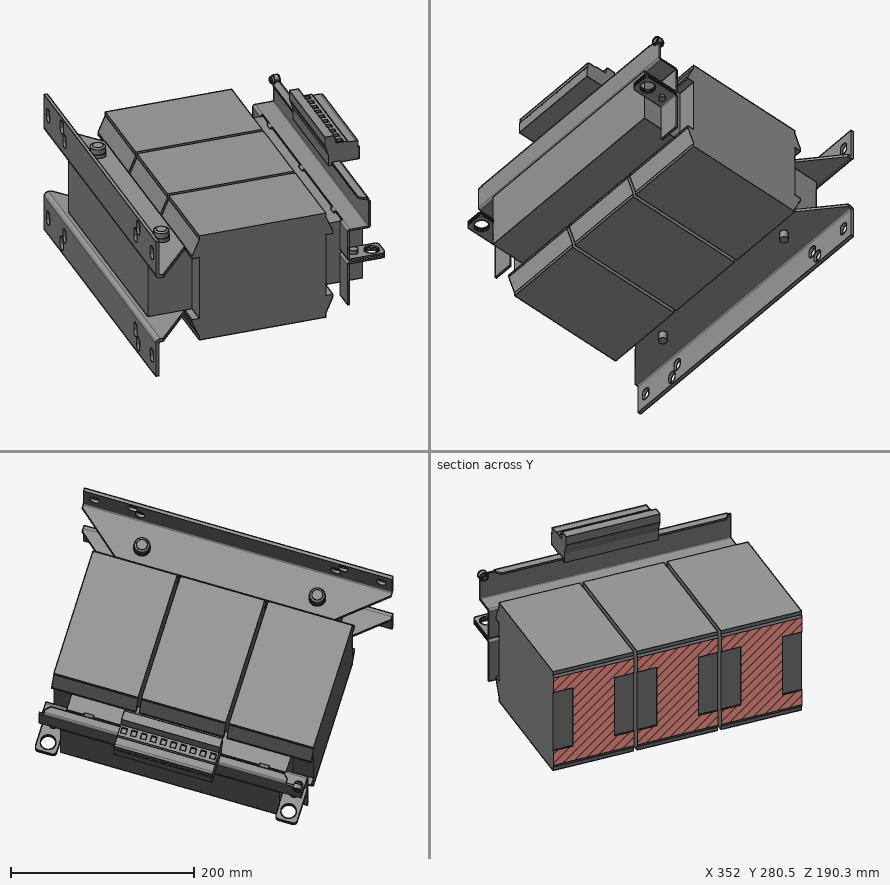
import cadquery as cq


LEG_PITCH = 100.0
LEG_WIDTH = LEG_PITCH / 2
CORE_HALF = LEG_PITCH + LEG_WIDTH / 2
YOKE_INNER = CORE_HALF - LEG_WIDTH
CORE_HALF_Z = 38.0
LEG_XS = (-LEG_PITCH, 0, LEG_PITCH)

COIL_WIDTH = 96.0
COIL_HALF_Y = 73.5
COIL_HALF_Z = 65.0
FLAP_REACH = 8.5
FLAP_BEND_Z = 60.5
FLAP_TIP_Z = 41.2

ANGLE_LENGTH = 352.0
ANGLE_THICKNESS = 4.0
ANGLE_BEND = 5.3
ANGLE_FRONT = -134.5
ANGLE_EDGE_Z = 84.0
ANGLE_SHOULDER_Y = -126.0
SHELF_TOP = CORE_HALF_Z + ANGLE_THICKNESS
SHELF_REAR = -COIL_HALF_Y - FLAP_REACH
SLOT_WIDTH = 10.2
SLOT_LENGTH = 16.5
SLOT_CENTRES = ((163.5, 64.0), (120.0, 72.5), (111.5, 59.0))

BOLT_Y = -(CORE_HALF + YOKE_INNER) / 2
BOLT_DIAMETER = 9.5
BOLT_BOTTOM = -52.5
WASHER_DIAMETER = 18.3
WASHER_HEIGHT = 4.2
HEAD_DIAMETER = 17.0
HEAD_TOP = 54.0
HEAD_CHAMFER_HEIGHT = 1.5
HEAD_CHAMFER_WIDTH = 2.5

SHEET = 2.0
SHEET_BEND = 2.8
SHEET_INNER_BEND = SHEET_BEND - SHEET
SHELF_SHEET_TOP = CORE_HALF_Z + SHEET
BRACKET_HALF_X = 149.2
BRACKET_FRONT = 98.5
BRACKET_REAR = CORE_HALF
BRACKET_TOP = 73.5
LIP_FRONT = 114.0
LIP_ROOT_Z = BRACKET_TOP - 2 * SHEET_BEND
LIP_LEFT = -132.0
LIP_RIGHT = 144.3
LIP_CHAMFER = 5.0
TAB_WIDTH = 10.5
LUG_REAR = 143.0
LUG_GAP = 1.8
LUG_CORNER = 4.5
LUG_HOLE = 17.0
LUG_HOLE_Y = 131.0
LUG_X = (CORE_HALF + BRACKET_HALF_X) / 2
LOWER_SHEET_BOTTOM = -54.0

LUG_SCREW_Y = 110.0
LUG_SCREW_SHANK = 5.5
LUG_SCREW_HEAD = 9.5
LUG_SCREW_TOP = 7.7
LUG_SCREW_NUT = 7.0
LUG_SCREW_BOTTOM = -6.5
EARTH_X = -145.5
EARTH_Z = 69.0
EARTH_SHANK = 5.5
EARTH_NUT = 8.5
EARTH_WASHER = 10.5
EARTH_WASHER_HEIGHT = 1.8
EARTH_FRONT = 117.2
EARTH_NUT_FRONT = 118.5
EARTH_REAR = 127.8

STRIP_LEFT = -54.2
STRIP_RIGHT = 57.7
STRIP_REAR = 146.0
STRIP_TOP = 106.3
STRIP_BOTTOM = 71.8
REAR_STEP_Y = 144.5
REAR_STEP_Z = 87.0
LEDGE_REAR = 142.0
LEDGE_Z = 95.0
LEDGE_DROP = 0.7
DECK_REAR = 132.0
DECK_RAMP = 1.5
DECK_FRONT = 119.5
DECK_Z = 96.5
CREST_REAR = 116.5
CREST_FRONT = 106.0
CREST_FOOT_Z = 95.5
BEVEL_Y = 107.0
BEVEL_TOP_Z = 92.5
UNDERCUT_Y = 109.0
UNDERCUT_Z = 86.2
FOOT_FRONT = 110.0
FOOT_TOP = 82.5
FOOT_BOTTOM = 69.7
OPENING_COUNT = 10
OPENING_PITCH = 11.3
OPENING_WIDTH = 6.0
OPENING_LENGTH = 6.7
OPENING_DEPTH = 3.5
OPENING_Y = 125.0


def x_prism(points, x_start, x_end):
    """Extrude a (Y, Z) outline from x_start to x_end."""
    profile = cq.Workplane("YZ", origin=(x_start, 0, 0)).polyline(points).close()
    return profile.extrude(x_end - x_start)


def box(x_range, y_range, z_range):
    """Box between the given limits."""
    size = [high - low for low, high in (x_range, y_range, z_range)]
    corner = (x_range[0], y_range[0], z_range[0])
    return cq.Workplane("XY").box(*size, centered=False).translate(corner)


def z_cylinder(x, y, diameter, bottom, top):
    return cq.Workplane("XY", origin=(x, y, bottom)).circle(diameter / 2).extrude(top - bottom)


def y_cylinder(x, z, diameter, front, rear):
    plane = cq.Workplane("XZ", origin=(x, front, z))
    return plane.circle(diameter / 2).extrude(front - rear)


def round_bend(sheet, x, y, z, radius):
    """Round the edge along X that passes closest to the given point."""
    edge = sheet.edges("|X").edges(cq.NearestToPointSelector((x, y, z)))
    return edge.fillet(radius)


def make_core():
    span_x = (-CORE_HALF, CORE_HALF)
    span_z = (-CORE_HALF_Z, CORE_HALF_Z)
    core = box(span_x, (-CORE_HALF, CORE_HALF), span_z)
    for x in (-LEG_PITCH / 2, LEG_PITCH / 2):
        half_window = (LEG_PITCH - LEG_WIDTH) / 2
        window = box((x - half_window, x + half_window), (-YOKE_INNER, YOKE_INNER), span_z)
        core = core.cut(window)
    return core


def make_coil(x):
    """Coil around one leg, with flaps leaning out above and below the yokes."""
    flap_y = COIL_HALF_Y + FLAP_REACH
    quarter = [
        (COIL_HALF_Y, CORE_HALF_Z),
        (flap_y, CORE_HALF_Z),
        (flap_y, FLAP_TIP_Z),
        (COIL_HALF_Y, FLAP_BEND_Z),
        (COIL_HALF_Y, COIL_HALF_Z),
    ]
    upper = quarter + [(-y, z) for y, z in reversed(quarter)]
    lower = [(-y, -z) for y, z in upper]
    return x_prism(upper + lower, x - COIL_WIDTH / 2, x + COIL_WIDTH / 2)


def make_upper_angle():
    """Bent angle with a tapered shelf on the front yoke and a slotted upright wall."""
    half = ANGLE_LENGTH / 2
    wall_rear = ANGLE_FRONT + ANGLE_THICKNESS
    profile = [
        (ANGLE_FRONT, CORE_HALF_Z),
        (SHELF_REAR, CORE_HALF_Z),
        (SHELF_REAR, SHELF_TOP),
        (wall_rear, SHELF_TOP),
        (wall_rear, ANGLE_EDGE_Z),
        (ANGLE_FRONT, ANGLE_EDGE_Z),
    ]
    angle = x_prism(profile, -half, half)
    angle = round_bend(angle, 0, ANGLE_FRONT, CORE_HALF_Z, ANGLE_BEND)
    angle = round_bend(angle, 0, wall_rear, SHELF_TOP, ANGLE_BEND - ANGLE_THICKNESS)

    for side in (-1, 1):
        corner = [
            (side * half, ANGLE_SHOULDER_Y),
            (side * half, SHELF_REAR),
            (side * CORE_HALF, SHELF_REAR),
        ]
        cutter = cq.Workplane("XY").polyline(corner).close().extrude(ANGLE_EDGE_Z)
        angle = angle.cut(cutter)

    slot_centres = [(side * x, z) for side in (-1, 1) for x, z in SLOT_CENTRES]
    slots = (
        cq.Workplane("XZ", origin=(0, wall_rear, 0))
        .pushPoints(slot_centres)
        .slot2D(SLOT_LENGTH, SLOT_WIDTH, 90)
        .extrude(ANGLE_THICKNESS)
    )
    return angle.cut(slots)


def make_clamp_bolt(x):
    washer_top = SHELF_TOP + WASHER_HEIGHT
    shank = z_cylinder(x, BOLT_Y, BOLT_DIAMETER, BOLT_BOTTOM, washer_top)
    washer = z_cylinder(x, BOLT_Y, WASHER_DIAMETER, SHELF_TOP, washer_top)
    head = z_cylinder(x, BOLT_Y, HEAD_DIAMETER, washer_top, HEAD_TOP)
    head = head.faces(">Z").chamfer(HEAD_CHAMFER_HEIGHT, HEAD_CHAMFER_WIDTH)
    return shank.union(washer).union(head)


def make_lug(profile, x, bends):
    """Bent strip beside the core that ends in a lifting lug with rounded corners and an eye.

    The bends are (Y, Z, radius) of the edges to round.
    """
    half = (BRACKET_HALF_X - CORE_HALF) / 2
    lug = x_prism(profile, x - half, x + half)
    for y, z, radius in bends:
        lug = round_bend(lug, x, y, z, radius)
    lug = lug.edges("|Z and >Y").fillet(LUG_CORNER)
    eye = z_cylinder(x, LUG_HOLE_Y, LUG_HOLE, -LUG_GAP / 2 - SHEET, LUG_GAP / 2 + SHEET)
    return lug.cut(eye)


def make_bracket_side(x):
    """Upper and lower lug beside the core and the screw between them."""
    wall_rear = BRACKET_FRONT + SHEET
    shelf_front = BRACKET_FRONT + 2 * SHEET_BEND
    upper_bottom = LUG_GAP / 2
    upper_top = upper_bottom + SHEET
    upper_profile = [
        (BRACKET_FRONT, upper_bottom),
        (LUG_REAR, upper_bottom),
        (LUG_REAR, upper_top),
        (wall_rear, upper_top),
        (wall_rear, CORE_HALF_Z),
        (shelf_front, CORE_HALF_Z),
        (shelf_front, SHELF_SHEET_TOP),
        (BRACKET_FRONT, SHELF_SHEET_TOP),
    ]
    upper_bends = (
        (BRACKET_FRONT, upper_bottom, SHEET_BEND),
        (wall_rear, upper_top, SHEET_INNER_BEND),
        (BRACKET_FRONT, SHELF_SHEET_TOP, SHEET_BEND),
    )
    upper = make_lug(upper_profile, x, upper_bends)

    lower_top = -upper_bottom
    lower_bottom = -upper_top
    lower_profile = [
        (BRACKET_FRONT, lower_top),
        (LUG_REAR, lower_top),
        (LUG_REAR, lower_bottom),
        (wall_rear, lower_bottom),
        (wall_rear, LOWER_SHEET_BOTTOM),
        (BRACKET_FRONT, LOWER_SHEET_BOTTOM),
    ]
    lower_bends = (
        (BRACKET_FRONT, lower_top, SHEET_BEND),
        (wall_rear, lower_bottom, SHEET_INNER_BEND),
    )
    lower = make_lug(lower_profile, x, lower_bends)

    screw = z_cylinder(x, LUG_SCREW_Y, LUG_SCREW_SHANK, LUG_SCREW_BOTTOM, LUG_SCREW_TOP)
    head = z_cylinder(x, LUG_SCREW_Y, LUG_SCREW_HEAD, upper_top, LUG_SCREW_TOP)
    nut = z_cylinder(x, LUG_SCREW_Y, LUG_SCREW_NUT, LUG_SCREW_BOTTOM, lower_bottom)
    return upper.union(lower).union(screw).union(head).union(nut)


def make_lip():
    """Lip bent forward from the top of the wall, with cut corners at its front."""
    lip_bottom = BRACKET_TOP - SHEET
    profile = [
        (BRACKET_REAR, LIP_ROOT_Z),
        (BRACKET_REAR, BRACKET_TOP),
        (LIP_FRONT, BRACKET_TOP),
        (LIP_FRONT, lip_bottom),
        (BRACKET_REAR - SHEET, lip_bottom),
        (BRACKET_REAR - SHEET, LIP_ROOT_Z),
    ]
    lip = x_prism(profile, LIP_LEFT, LIP_RIGHT)
    lip = lip.edges("|Z and <Y").chamfer(LIP_CHAMFER)
    lip = round_bend(lip, 0, BRACKET_REAR, BRACKET_TOP, SHEET_BEND)
    return round_bend(lip, 0, BRACKET_REAR - SHEET, lip_bottom, SHEET_INNER_BEND)


def make_bracket_rail():
    """Shelf on the core, upright wall and the lip under the terminal strip."""
    wall_front = BRACKET_REAR - SHEET
    shelf_front = BRACKET_FRONT + SHEET_BEND
    profile = [
        (shelf_front, CORE_HALF_Z),
        (BRACKET_REAR, CORE_HALF_Z),
        (BRACKET_REAR, LIP_ROOT_Z),
        (wall_front, LIP_ROOT_Z),
        (wall_front, SHELF_SHEET_TOP),
        (shelf_front, SHELF_SHEET_TOP),
    ]
    rail = x_prism(profile, -BRACKET_HALF_X, BRACKET_HALF_X)
    rail = round_bend(rail, 0, BRACKET_REAR, CORE_HALF_Z, SHEET_BEND)
    rail = round_bend(rail, 0, wall_front, SHELF_SHEET_TOP, SHEET_INNER_BEND)

    end_z = (LIP_ROOT_Z, BRACKET_TOP - SHEET_BEND)
    rail = rail.union(make_lip())
    for span_x in ((-BRACKET_HALF_X, LIP_LEFT), (LIP_RIGHT, BRACKET_HALF_X)):
        rail = rail.union(box(span_x, (wall_front, BRACKET_REAR), end_z))

    for x in LEG_XS:
        tab = box(
            (x - TAB_WIDTH / 2, x + TAB_WIDTH / 2),
            (BRACKET_FRONT, shelf_front + SHEET),
            (CORE_HALF_Z - SHEET, SHELF_SHEET_TOP),
        )
        rail = rail.union(round_bend(tab, x, BRACKET_FRONT, SHELF_SHEET_TOP, SHEET_BEND))
    return rail


def make_earth_screw():
    """Screw through the left end of the bracket wall, with a washer on either side."""
    washer_front = BRACKET_REAR - SHEET - EARTH_WASHER_HEIGHT
    washer_rear = BRACKET_REAR + EARTH_WASHER_HEIGHT
    shank = y_cylinder(EARTH_X, EARTH_Z, EARTH_SHANK, EARTH_FRONT, EARTH_REAR)
    nut = y_cylinder(EARTH_X, EARTH_Z, EARTH_NUT, EARTH_NUT_FRONT, EARTH_REAR)
    washers = y_cylinder(EARTH_X, EARTH_Z, EARTH_WASHER, washer_front, washer_rear)
    return shank.union(nut).union(washers)


def make_terminal_strip():
    """Terminal strip seated on the lip, with a row of openings in its deck."""
    profile = [
        (STRIP_REAR, STRIP_BOTTOM),
        (STRIP_REAR, REAR_STEP_Z),
        (REAR_STEP_Y, REAR_STEP_Z),
        (REAR_STEP_Y, LEDGE_Z - LEDGE_DROP),
        (LEDGE_REAR, LEDGE_Z),
        (DECK_REAR + DECK_RAMP, LEDGE_Z),
        (DECK_REAR, DECK_Z),
        (DECK_FRONT, DECK_Z),
        (CREST_REAR, STRIP_TOP),
        (CREST_FRONT, STRIP_TOP),
        (CREST_FRONT, CREST_FOOT_Z),
        (BEVEL_Y, BEVEL_TOP_Z),
        (UNDERCUT_Y, UNDERCUT_Z),
        (FOOT_FRONT, FOOT_TOP),
        (FOOT_FRONT, FOOT_BOTTOM),
        (LIP_FRONT, FOOT_BOTTOM),
        (LIP_FRONT, STRIP_BOTTOM),
    ]
    strip = x_prism(profile, STRIP_LEFT, STRIP_RIGHT)
    middle = (STRIP_LEFT + STRIP_RIGHT) / 2
    openings = (
        cq.Workplane("XY", origin=(middle, OPENING_Y, DECK_Z - OPENING_DEPTH))
        .rarray(OPENING_PITCH, 3.5, OPENING_COUNT, 1)
        .rect(OPENING_WIDTH, OPENING_LENGTH)
        .extrude(OPENING_DEPTH)
    )
    return strip.cut(openings)


result = make_core()
for leg_x in LEG_XS:
    result = result.union(make_coil(leg_x))

upper_angle = make_upper_angle()
result = result.union(upper_angle).union(upper_angle.mirror("XY"))
for bolt_x in (-LEG_PITCH, LEG_PITCH):
    result = result.union(make_clamp_bolt(bolt_x))

result = result.union(make_bracket_rail())
for lug_x in (-LUG_X, LUG_X):
    result = result.union(make_bracket_side(lug_x))
result = result.union(make_earth_screw()).union(make_terminal_strip())